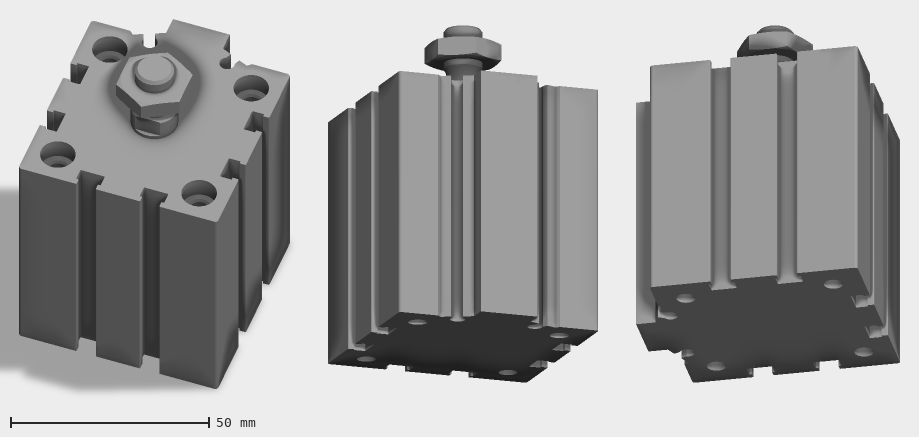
import cadquery as cq
import math

overall_height = 83

housing_side = 53.5
housing_half = housing_side / 2
housing_height = 63.0
rail_width = 15.3
rail_height = 7.5
outer_corner_radius = 0.8

slot_offset = 8.55
slot_mouth_width = 5.15
slot_inner_width = 6.55
slot_lip_depth = 1.7
slot_depth = 4.8
slot_lip_radius = 0.25
slot_root_radius = 0.25

groove_x = 10.4
groove_y = 24.8
groove_diameter = 3.9
groove_mouth_width = 3.0
groove_tilt = 24
groove_face_distance = 2.9
groove_cutter_reach = 5.8
valley_x = 15.35
valley_run = 1.0

hole_spacing = 38.0
hole_diameter = 4.9
hole_chamfer = 0.54
counterbore_diameter = 9.0
counterbore_depth = 5.5

rod_length = overall_height - housing_height
shank_diameter = 12.0
shank_length = 6.0
shank_chamfer = 0.25
wrench_flat_width = 10.0
wrench_flat_start = 1.1
neck_diameter = 8.2
neck_foot_diameter = 8.6
neck_foot_length = 0.75
neck_length = 0.6
thread_diameter = 10.0
thread_start = 9.7
thread_chamfer_height = 0.8
thread_end_diameter = 8.55

nut_width = 17.0
nut_height = 4.8
nut_top_gap = 4.0
nut_chamfer_angle = 15


def shoulder_y(x):
    """Y of the sloping face that the right-hand sensor groove opens through."""
    tilt = math.radians(groove_tilt)
    face_x = groove_x + groove_face_distance * math.sin(tilt)
    face_y = groove_y + groove_face_distance * math.cos(tilt)
    return face_y - (x - face_x) * math.tan(tilt)


def make_blank():
    """Full-height block with the rail and its sloping shoulders."""
    rail_top = housing_half + rail_height
    right_side = [
        (housing_half, -housing_half),
        (housing_half, housing_half),
        (valley_x + valley_run, housing_half),
        (valley_x, shoulder_y(valley_x)),
        (rail_width / 2, shoulder_y(rail_width / 2)),
        (rail_width / 2, rail_top),
    ]
    left_side = [(-x, y) for x, y in reversed(right_side)]
    blank = cq.Workplane("XY").polyline(right_side + left_side).close().extrude(housing_height)
    for side in ("<X", ">X"):
        blank = blank.edges("|Z").edges(side).fillet(outer_corner_radius)
    return blank


def make_t_slot():
    """Cutter for one T-slot, open toward -Y, with its mouth centred on the Z axis.

    The mouth flares at its outer end, which rounds the lips it leaves behind.
    """
    half_mouth = slot_mouth_width / 2
    half_flare = half_mouth + slot_lip_radius
    bend = slot_lip_radius * (1 - math.sqrt(0.5))
    mouth = (
        cq.Workplane("XY")
        .moveTo(-half_flare, 0)
        .threePointArc((-half_mouth - bend, bend), (-half_mouth, slot_lip_radius))
        .lineTo(-half_mouth, slot_depth)
        .lineTo(half_mouth, slot_depth)
        .lineTo(half_mouth, slot_lip_radius)
        .threePointArc((half_mouth + bend, bend), (half_flare, 0))
        .close()
        .extrude(housing_height)
    )
    chamber_depth = slot_depth - slot_lip_depth
    chamber = (
        cq.Workplane("XY")
        .center(0, slot_lip_depth + chamber_depth / 2)
        .rect(slot_inner_width, chamber_depth)
        .extrude(housing_height)
        .edges("|Z and >Y")
        .fillet(slot_root_radius)
    )
    return mouth.union(chamber)


def make_sensor_groove():
    """Cutter for the right-hand groove: a round channel with a parallel-walled mouth."""
    channel = cq.Workplane("XY").circle(groove_diameter / 2).extrude(housing_height)
    mouth = (
        cq.Workplane("XY")
        .center(0, groove_cutter_reach / 2)
        .rect(groove_mouth_width, groove_cutter_reach)
        .extrude(housing_height)
    )
    groove = channel.union(mouth).rotate((0, 0, 0), (0, 0, 1), -groove_tilt)
    return groove.translate((groove_x, groove_y, 0))


def make_mounting_hole():
    """Cutter for one mounting hole, a stepped revolve on the Z axis."""
    hole_radius = hole_diameter / 2
    floor_z = housing_height - counterbore_depth
    profile = [
        (0, 0),
        (hole_radius, 0),
        (hole_radius, floor_z - hole_chamfer),
        (hole_radius + hole_chamfer, floor_z),
        (counterbore_diameter / 2, floor_z),
        (counterbore_diameter / 2, housing_height),
        (0, housing_height),
    ]
    return cq.Workplane("XZ").polyline(profile).close().revolve(360, (0, 0), (0, 1))


def make_housing():
    housing = make_blank()

    t_slot = make_t_slot()
    for side_angle in (-90, 0, 90):
        for offset in (-slot_offset, slot_offset):
            cutter = t_slot.translate((offset, -housing_half, 0))
            housing = housing.cut(cutter.rotate((0, 0, 0), (0, 0, 1), side_angle))

    groove = make_sensor_groove()
    housing = housing.cut(groove).cut(groove.mirror("YZ"))

    hole = make_mounting_hole()
    for x in (-hole_spacing / 2, hole_spacing / 2):
        for y in (-hole_spacing / 2, hole_spacing / 2):
            housing = housing.cut(hole.translate((x, y, 0)))
    return housing


def make_rod():
    """Turned rod with a necked thread and two wrench flats on its shank."""
    shank_radius = shank_diameter / 2
    neck_radius = neck_diameter / 2
    thread_radius = thread_diameter / 2
    neck_start = shank_length + neck_foot_length
    neck_end = neck_start + neck_length

    flare_rise = thread_start - neck_end
    flare_step = thread_radius - neck_radius
    flare_radius = (flare_rise**2 + flare_step**2) / (2 * flare_step)
    mid_angle = math.asin(flare_rise / flare_radius) / 2
    flare_middle = (
        neck_radius + flare_radius * (1 - math.cos(mid_angle)),
        neck_end + flare_radius * math.sin(mid_angle),
    )

    rod = (
        cq.Workplane("XZ")
        .moveTo(0, 0)
        .lineTo(shank_radius, 0)
        .lineTo(shank_radius, shank_length - shank_chamfer)
        .lineTo(shank_radius - shank_chamfer, shank_length)
        .lineTo(neck_foot_diameter / 2, shank_length)
        .lineTo(neck_radius, neck_start)
        .lineTo(neck_radius, neck_end)
        .threePointArc(flare_middle, (thread_radius, thread_start))
        .lineTo(thread_radius, rod_length - thread_chamfer_height)
        .lineTo(thread_end_diameter / 2, rod_length)
        .lineTo(0, rod_length)
        .close()
        .revolve(360, (0, 0), (0, 1))
    )

    flat_depth = (shank_diameter - wrench_flat_width) / 2
    flat_height = shank_length - wrench_flat_start
    for side in (-1, 1):
        flat = (
            cq.Workplane("XY", origin=(0, side * (wrench_flat_width + flat_depth) / 2, wrench_flat_start))
            .rect(shank_diameter, flat_depth)
            .extrude(flat_height)
        )
        rod = rod.cut(flat)
    return rod.translate((0, 0, housing_height))


def make_nut():
    """Hexagon nut with corners toward +Y and -Y, its corners turned off at both ends."""
    corner_radius = nut_width / math.sqrt(3)
    face_radius = nut_width / 2
    corner_drop = (corner_radius - face_radius) * math.tan(math.radians(nut_chamfer_angle))
    hexagon = (
        cq.Workplane("XY")
        .polygon(6, 2 * corner_radius)
        .extrude(nut_height)
        .rotate((0, 0, 0), (0, 0, 1), 90)
    )
    turned_profile = [
        (thread_diameter / 2, 0),
        (face_radius, 0),
        (corner_radius, corner_drop),
        (corner_radius, nut_height - corner_drop),
        (face_radius, nut_height),
        (thread_diameter / 2, nut_height),
    ]
    turned_ring = cq.Workplane("XZ").polyline(turned_profile).close().revolve(360, (0, 0), (0, 1))
    nut_base = overall_height - nut_top_gap - nut_height
    return hexagon.intersect(turned_ring).translate((0, 0, nut_base))


housing = make_housing()
rod = make_rod()
nut = make_nut()

result = cq.Compound.makeCompound([housing.val(), rod.val(), nut.val()])